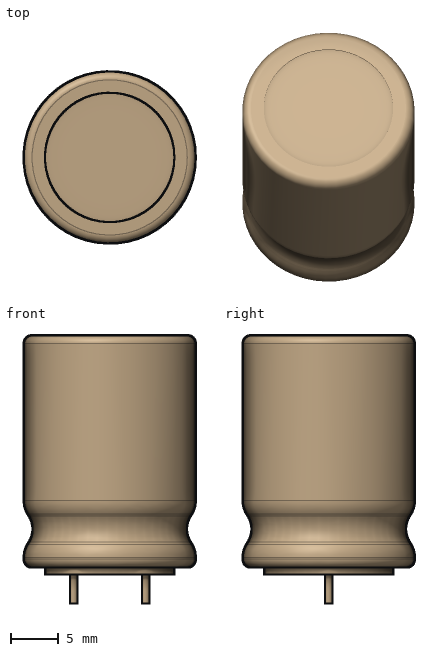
import cadquery as cq
import math

total_height = 28.0
can_radius = 9.0
lead_length = 3.02
plug_radius = 6.75
plug_height = 0.73
rim_radius = 0.9
recess_depth = 0.1

groove_center_z = 7.78
roll_radius = 2.58
roll_angle = math.radians(32)
straight_height = 0.22

lead_diameter = 0.8
lead_pitch = 7.5
lead_embed = 0.28

can_bottom = lead_length + plug_height
arc_height = roll_radius * math.sin(roll_angle)
arc_depth = roll_radius * (1 - math.cos(roll_angle))
half_arc_height = roll_radius * math.sin(roll_angle / 2)
half_arc_depth = roll_radius * (1 - math.cos(roll_angle / 2))
straight_depth = straight_height * math.tan(roll_angle)
waist_radius = can_radius - 2 * arc_depth - straight_depth
groove_half_height = 2 * arc_height + straight_height
rim_mid_inset = rim_radius * (1 - math.sqrt(0.5))


def groove_point(radius, offset):
    """Profile point at a height offset from the middle of the groove."""
    return (radius, groove_center_z + offset)


def make_can():
    """Revolve the half profile of the can about the Z axis."""
    rim_inner = can_radius - rim_radius
    rim_mid = can_radius - rim_mid_inset
    shoulder_mid = can_radius - half_arc_depth
    shoulder_end = can_radius - arc_depth
    shoulder_mid_offset = groove_half_height - half_arc_height
    shoulder_end_offset = groove_half_height - arc_height
    waist_end = waist_radius + arc_depth
    profile = (
        cq.Workplane("XZ")
        .moveTo(0, can_bottom)
        .lineTo(rim_inner, can_bottom)
        .threePointArc((rim_mid, can_bottom + rim_mid_inset), (can_radius, can_bottom + rim_radius))
        .lineTo(*groove_point(can_radius, -groove_half_height))
        .threePointArc(
            groove_point(shoulder_mid, -shoulder_mid_offset),
            groove_point(shoulder_end, -shoulder_end_offset),
        )
        .lineTo(*groove_point(waist_end, -arc_height))
        .threePointArc(groove_point(waist_radius, 0), groove_point(waist_end, arc_height))
        .lineTo(*groove_point(shoulder_end, shoulder_end_offset))
        .threePointArc(
            groove_point(shoulder_mid, shoulder_mid_offset),
            groove_point(can_radius, groove_half_height),
        )
        .lineTo(can_radius, total_height - rim_radius)
        .threePointArc((rim_mid, total_height - rim_mid_inset), (rim_inner, total_height))
        .lineTo(plug_radius, total_height)
        .lineTo(plug_radius, total_height - recess_depth)
        .lineTo(0, total_height - recess_depth)
        .close()
    )
    return profile.revolve(360, (0, 0, 0), (0, 1, 0))


def make_plug():
    """Sealing plug that stands proud of the can's underside."""
    return cq.Workplane("XY").workplane(offset=lead_length).circle(plug_radius).extrude(plug_height)


def make_leads():
    """Two round leads side by side along X."""
    return (
        cq.Workplane("XY")
        .pushPoints([(-lead_pitch / 2, 0), (lead_pitch / 2, 0)])
        .circle(lead_diameter / 2)
        .extrude(lead_length + lead_embed)
    )


result = make_can().union(make_plug()).union(make_leads())